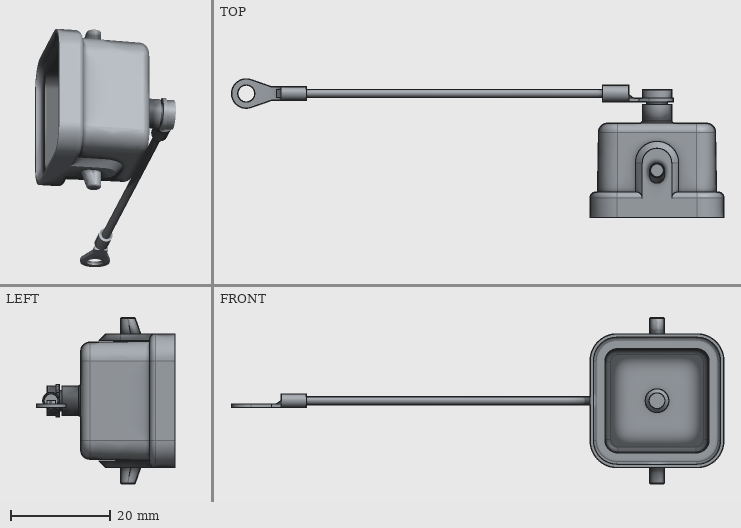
import cadquery as cq
import math

flange_width = 27.0
flange_corner_radius = 5.5
flange_depth = 5.2
overlap_y = flange_depth / 2
flange_back_fillet = 1.2
body_width = 24.1
body_corner_radius = 4.1
housing_depth = 19.1
body_back_fillet = 1.9
wall_draft = 1.0

rim_land = 0.7
seat_depth = 1.5
seat_floor_fillet = 0.55

cavity_width = 21.0
cavity_corner_radius = 2.7
cavity_draft_y = 5.1
cavity_floor_y = 17.3
cavity_floor_fillet = 1.0
cavity_boss_base_radius = 2.4
cavity_boss_tip_radius = 1.6
cavity_boss_height = 1.0

pin_span = 33.5
pin_y = 9.5
pin_radius = 1.5
pin_tip_chamfer = 0.2
pin_foot_shift = 1.1
pad_arc_y = 11.0
pad_top_radius = 3.0
pad_bevel = 1.4
pad_bevel_angle = 45
pad_base_z = flange_width / 2 - pad_bevel

post_radius = 3.0
post_foot_radius = 3.3
post_foot_height = 0.4
post_end_y = 22.8
neck_radius = 2.1
cap_end_y = 25.8

total_length = 99.25
cable_y = 25.0
cable_radius = 0.84
lug_plate_thickness = 0.74
lug_neck_length = 2.0
lug_ramp_length = 1.0
lug_ramp_height = 0.7
outer_ring_radius = 3.0
outer_hole_radius = 1.7
outer_barrel_radius = 1.4
outer_barrel_start = 7.0
outer_barrel_length = 5.1
inner_ring_radius = 3.3
inner_barrel_radius = 1.7
inner_barrel_start = 5.7
inner_barrel_length = 5.4
outer_ring_x = flange_width / 2 - total_length + outer_ring_radius


def plane_at(y):
    """Plane across the housing axis, facing +Y, with local x along X and local y along -Z."""
    return cq.Plane(origin=(0, y, 0), xDir=(1, 0, 0), normal=(0, 1, 0))


def rounded_square(y, width, corner_radius):
    outline = cq.Sketch().rect(width, width).vertices().fillet(corner_radius)
    return cq.Workplane(plane_at(y)).placeSketch(outline)


def disc(y_start, y_end, radius):
    return cq.Workplane(plane_at(y_start)).circle(radius).extrude(y_end - y_start)


def cone(y_start, y_end, start_radius, end_radius):
    return (
        cq.Workplane(plane_at(y_start))
        .circle(start_radius)
        .workplane(offset=y_end - y_start)
        .circle(end_radius)
        .loft()
    )


def make_shell():
    flange = rounded_square(0, flange_width, flange_corner_radius).extrude(flange_depth)
    flange = flange.faces(">Y").edges().fillet(flange_back_fillet)
    body = rounded_square(overlap_y, body_width, body_corner_radius)
    body = body.extrude(housing_depth - overlap_y, taper=wall_draft)
    body = body.faces(">Y").edges().fillet(body_back_fillet)
    return flange.union(body)


def make_seat():
    seat_width = flange_width - 2 * rim_land
    seat = rounded_square(0, seat_width, flange_corner_radius - rim_land)
    return seat.extrude(seat_depth).faces(">Y").edges().fillet(seat_floor_fillet)


def make_cavity():
    mouth = rounded_square(0, cavity_width, cavity_corner_radius).extrude(cavity_draft_y)
    drafted = rounded_square(cavity_draft_y, cavity_width, cavity_corner_radius)
    drafted = drafted.extrude(cavity_floor_y - cavity_draft_y, taper=wall_draft)
    drafted = drafted.faces(">Y").edges().fillet(cavity_floor_fillet)
    return mouth.union(drafted)


def pad_outline(z, half_width):
    """Tongue outline from the flange to a round end, at height z."""
    return (
        cq.Workplane("XY", origin=(0, 0, z))
        .moveTo(-half_width, overlap_y)
        .lineTo(half_width, overlap_y)
        .lineTo(half_width, pad_arc_y)
        .threePointArc((0, pad_arc_y + half_width), (-half_width, pad_arc_y))
        .close()
    )


def make_pad_with_pin():
    pad = pad_outline(pad_base_z, pad_top_radius + pad_bevel).extrude(pad_bevel, taper=pad_bevel_angle)
    pin_height = pin_span / 2 - pad_base_z
    pin = cq.Workplane("XY", origin=(0, pin_y, pad_base_z)).circle(pin_radius).extrude(pin_height)
    pin = pin.faces(">Z").chamfer(pin_tip_chamfer)
    foot = (
        cq.Workplane("XY", origin=(0, pin_y, flange_width / 2))
        .center(0, -pin_foot_shift)
        .circle(pin_radius)
        .workplane(offset=pin_span / 2 - flange_width / 2 - pin_tip_chamfer)
        .center(0, pin_foot_shift)
        .circle(pin_radius)
        .loft()
    )
    return pad.union(pin).union(foot)


def make_post():
    foot = cone(housing_depth, housing_depth + post_foot_height, post_foot_radius, post_radius)
    post = disc(housing_depth, post_end_y, post_radius)
    neck = disc(post_end_y, cap_end_y, neck_radius)
    cap_start_y = cable_y - inner_barrel_radius + lug_plate_thickness
    cap = disc(cap_start_y, cap_end_y, post_radius)
    return post.union(foot).union(neck).union(cap)


def make_lug(plane, ring_radius, barrel_radius, barrel_start, barrel_length):
    """Ring lug: the plane's origin is on the cable axis at the ring centre, the barrel lies along local x."""
    plate_bottom = -barrel_radius
    plate_top = plate_bottom + lug_plate_thickness
    neck_x = barrel_start - lug_neck_length
    neck_distance = math.hypot(neck_x, barrel_radius)
    touch_angle = math.atan2(barrel_radius, neck_x) + math.acos(ring_radius / neck_distance)
    touch_x = ring_radius * math.cos(touch_angle)
    touch_y = ring_radius * math.sin(touch_angle)
    plate = (
        cq.Workplane(plane)
        .workplane(offset=plate_bottom)
        .moveTo(barrel_start, barrel_radius)
        .lineTo(neck_x, barrel_radius)
        .lineTo(touch_x, touch_y)
        .threePointArc((-ring_radius, 0), (touch_x, -touch_y))
        .lineTo(neck_x, -barrel_radius)
        .lineTo(barrel_start, -barrel_radius)
        .close()
        .extrude(lug_plate_thickness)
    )
    barrel_plane = cq.Plane(
        origin=plane.toWorldCoords((barrel_start, 0, 0)), xDir=plane.yDir, normal=plane.xDir
    )
    barrel = cq.Workplane(barrel_plane).circle(barrel_radius).extrude(barrel_length)
    ramp_width = 2 * cable_radius
    ramp_plane = cq.Plane(
        origin=plane.toWorldCoords((barrel_start, cable_radius, 0)), xDir=plane.xDir, normal=-plane.yDir
    )
    ramp = (
        cq.Workplane(ramp_plane)
        .moveTo(-lug_ramp_length, plate_top)
        .lineTo(0, plate_top + lug_ramp_height)
        .lineTo(0, plate_bottom)
        .lineTo(-lug_ramp_length, plate_bottom)
        .close()
        .extrude(ramp_width)
    )
    return plate.union(barrel).union(ramp)


def make_cable_assembly():
    outer_plane = cq.Plane(origin=(outer_ring_x, cable_y, 0), xDir=(1, 0, 0), normal=(0, 0, 1))
    outer_lug = make_lug(
        outer_plane, outer_ring_radius, outer_barrel_radius, outer_barrel_start, outer_barrel_length
    )
    hole_cutter = cq.Workplane(outer_plane).circle(outer_hole_radius).extrude(outer_barrel_radius, both=True)
    outer_lug = outer_lug.cut(hole_cutter)
    inner_plane = cq.Plane(origin=(0, cable_y, 0), xDir=(-1, 0, 0), normal=(0, 1, 0))
    inner_lug = make_lug(
        inner_plane, inner_ring_radius, inner_barrel_radius, inner_barrel_start, inner_barrel_length
    )
    cable_start_x = outer_ring_x + outer_barrel_start + outer_barrel_length / 2
    cable_end_x = -inner_barrel_start - inner_barrel_length / 2
    cable = (
        cq.Workplane("YZ", origin=(cable_start_x, cable_y, 0))
        .circle(cable_radius)
        .extrude(cable_end_x - cable_start_x)
    )
    return outer_lug.union(cable).union(inner_lug)


pad_with_pin = make_pad_with_pin()
housing = make_shell().union(pad_with_pin).union(pad_with_pin.mirror("XY"))
housing = housing.cut(make_seat()).cut(make_cavity())
cavity_boss = cone(
    cavity_floor_y - cavity_boss_height, cavity_floor_y, cavity_boss_tip_radius, cavity_boss_base_radius
)
housing = housing.union(cavity_boss)

result = housing.union(make_post()).union(make_cable_assembly())